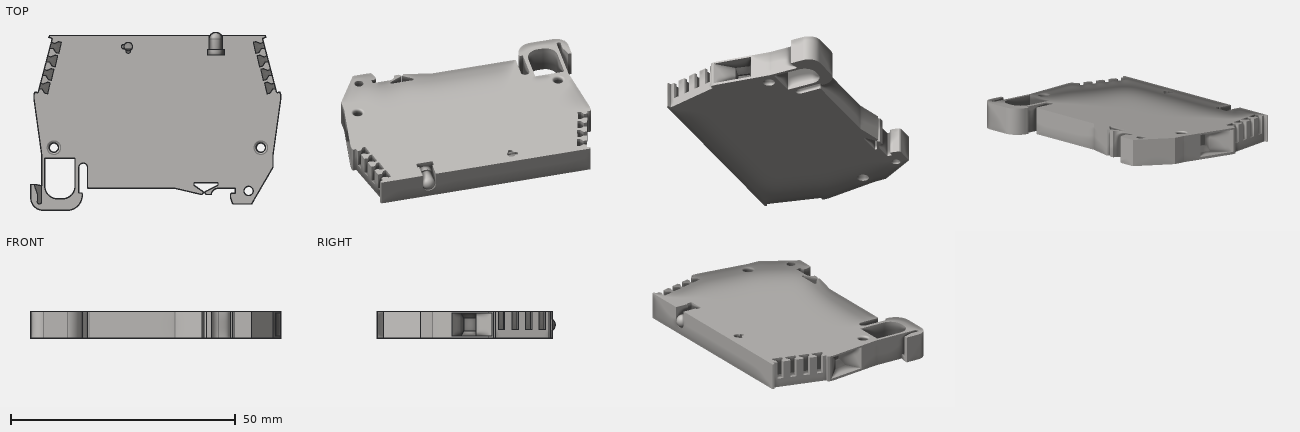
import cadquery as cq
import math


thickness = 6.0
mid_z = thickness / 2
top_y = 38.95
overall_length = 55.65
flank_x = 0.7
mirror_x = (flank_x + overall_length) / 2
arc_bend = 1 - math.sqrt(0.5)
shank_x = 2.45
shank_top_y = 12.3
bottom_y = 4.9
cut_margin = 0.55

hook_corner_radius = 2.85
hook_top_y = 5.8
hook_slot_floor_z = 1.0
hook_nose_tip = (1.1, hook_top_y)
hook_slot_end = (shank_x, 5.5)
hook_slot_root = (1.95, 1.95)
lip_y = 3.9
lip_tip = (11.6, 3.45)
lip_base = (11.4, 2.65)
lip_arc_mid = (10.45, 0.95)
lip_arc_end_x = 8.25
spring_slot_left = 10.75
spring_slot_right = 12.65
spring_slot_top = 10.5
spring_slot_corner = 0.35

window_left = 3.15
window_right = 9.85
window_top = 11.6
window_bottom = 2.6
window_radius = 2.8

latch_start_x = 32.1
latch_y = 3.5
latch_gap = 0.05
latch_pinch = (38.55, 4.05)
latch_window_left = 36.35
latch_window_right = 41.6
latch_window_top = 6.1
latch_window_side = 0.5
claw_left = 44.4
claw_recess_x = 45.45
claw_top_y = 3.85
claw_bottom_y = 1.4
right_flank_bottom_y = 9.6

screw_hole_x = 5.2
screw_hole_y = 13.95
screw_hole_radius = 1.0
screw_hole_rounding = 0.5
screw_land_length = 0.35
screw_bore_radius = 1.35
claw_hole_center = (48.45, 4.35)
claw_hole_radius = 1.0

grip_count = 4
grip_step = (-0.85, -3.0)
grip_floor_z = 2.0

entry_back_z = 0.55
entry_height = 5.05
entry_top_y = 25.5
entry_bottom_x = 1.9
entry_bottom_y = 16.7
throat_top = (4.5, 21.9)
throat_bottom = (5.3, 18.7)
funnel_length = 1.35
wire_hole_size = 2.9
wire_hole_depth = 0.55

lamp_x = 41.2
lamp_radius = 1.5
lamp_flange_radius = 1.9
lamp_flange_bottom = 34.55
lamp_flange_top = 35.8
lamp_dome_y = 38.1

plug_center = (21.7, 36.45)
plug_radius = 0.95
plug_top_z = 5.4
plug_length = 1.65
plug_slope_angle = 30
plug_flat_offset = 0.5
mark_radius = 0.5
mark_offset = 1.0


def mirrored_x(point):
    return (2 * mirror_x - point[0], point[1])


def housing_plate():
    """The plate's outline, run from the top left corner anticlockwise, and extruded."""
    left_shoulder = [
        (4.25, top_y), (4.0, 38.5), (4.8, 38.25),
        (1.65, 26.3), (1.45, 26.15), (1.3, 26.3), (0.95, 26.3), (flank_x, 25.8), (flank_x, 24.75),
        (shank_x, shank_top_y),
    ]
    right_shoulder = [mirrored_x(point) for point in reversed(left_shoulder)]
    slot_radius = (spring_slot_right - spring_slot_left) / 2
    slot_mid_x = (spring_slot_left + spring_slot_right) / 2
    slot_arc_y = spring_slot_top - slot_radius
    corner = spring_slot_corner
    radius = hook_corner_radius
    pinch_x, pinch_y = latch_pinch
    window_side_y = latch_window_top - latch_window_side

    outline = (
        cq.Workplane("XY")
        .polyline(left_shoulder)
        .lineTo(*hook_slot_end)
        .lineTo(*hook_nose_tip)
        .lineTo(0, hook_top_y)
        .lineTo(0, radius)
        .threePointArc((arc_bend * radius, arc_bend * radius), (radius, 0))
        .lineTo(lip_arc_end_x, 0)
        .threePointArc(lip_arc_mid, lip_base)
        .lineTo(*lip_tip)
        .lineTo(lip_base[0], lip_y)
        .lineTo(spring_slot_left, lip_y)
        .lineTo(spring_slot_left, slot_arc_y)
        .threePointArc((slot_mid_x, spring_slot_top), (spring_slot_right, slot_arc_y))
        .lineTo(spring_slot_right, bottom_y + corner)
        .threePointArc(
            (spring_slot_right + arc_bend * corner, bottom_y + arc_bend * corner),
            (spring_slot_right + corner, bottom_y),
        )
        .lineTo(latch_start_x, bottom_y)
        .lineTo(38.05, latch_y)
        .lineTo(pinch_x - latch_gap / 2, pinch_y)
        .lineTo(latch_window_left, window_side_y)
        .lineTo(latch_window_left, latch_window_top)
        .lineTo(latch_window_right, latch_window_top)
        .lineTo(latch_window_right, window_side_y)
        .lineTo(pinch_x + latch_gap / 2, pinch_y)
        .lineTo(39.05, latch_y)
        .lineTo(40.2, latch_y)
        .lineTo(40.25, 3.8)
        .threePointArc((40.75, 4.55), (41.8, bottom_y))
        .lineTo(claw_recess_x, bottom_y)
        .lineTo(claw_recess_x, claw_top_y)
        .lineTo(44.65, claw_top_y)
        .lineTo(claw_left, 3.55)
        .lineTo(claw_left, 2.95)
        .lineTo(44.85, 1.55)
        .lineTo(45.2, claw_bottom_y)
        .lineTo(49.15, claw_bottom_y)
        .lineTo(2 * mirror_x - shank_x, right_flank_bottom_y)
    )
    for point in right_shoulder:
        outline = outline.lineTo(*point)
    return outline.close().extrude(thickness)


def hook_slot():
    """Blind slot between the hook's nose and the arm, with a round pocket at its root."""
    root_x, root_y = hook_slot_root
    root_radius = shank_x - root_x
    channel = (
        cq.Workplane("XY", origin=(0, 0, hook_slot_floor_z))
        .moveTo(shank_x, root_y)
        .lineTo(shank_x, hook_top_y + cut_margin)
        .lineTo(0.85, hook_top_y + cut_margin)
        .lineTo(0.85, 5.55)
        .lineTo(1.55, 3.5)
        .lineTo(1.55, root_y)
        .close()
        .extrude(thickness)
    )
    root = (
        cq.Workplane("XY", origin=(root_x, root_y, hook_slot_floor_z))
        .circle(root_radius)
        .extrude(thickness)
    )
    return channel.union(root)


def hook_window():
    """Through window with two rounded lower corners."""
    return (
        cq.Workplane("XY")
        .moveTo(window_left, window_bottom)
        .lineTo(window_right, window_bottom)
        .lineTo(window_right, window_top)
        .lineTo(window_left, window_top)
        .close()
        .extrude(thickness)
        .edges("|Z and <Y")
        .fillet(window_radius)
    )


def screw_hole():
    """Through hole with a rounded mouth on the front face and a wider bore behind its narrow land."""
    mouth_radius = screw_hole_radius + screw_hole_rounding
    round_start_z = thickness - screw_hole_rounding
    land_start_z = round_start_z - screw_land_length
    inset = screw_hole_rounding * arc_bend
    return (
        cq.Workplane("XZ")
        .lineTo(screw_bore_radius, 0)
        .lineTo(screw_bore_radius, land_start_z)
        .lineTo(screw_hole_radius, land_start_z)
        .lineTo(screw_hole_radius, round_start_z)
        .threePointArc((screw_hole_radius + inset, thickness - inset), (mouth_radius, thickness))
        .lineTo(0, thickness)
        .close()
        .revolve(360, (0, 0), (0, 1))
        .translate((screw_hole_x, screw_hole_y, 0))
    )


def claw_hole():
    return cq.Workplane("XY").center(*claw_hole_center).circle(claw_hole_radius).extrude(thickness)


def grip_slot():
    """Topmost wavy slot in the left shoulder, open to the shoulder's edge."""
    return (
        cq.Workplane("XY", origin=(0, 0, grip_floor_z))
        .polyline([
            (4.1, 37.4), (4.7, 37.4), (5.3, 37.1), (6.25, 37.55), (6.85, 37.4),
            (6.3, 34.95), (5.6, 35.1), (5.05, 36.0), (3.7, 36.0),
        ])
        .close()
        .extrude(thickness)
    )


def wire_entry():
    """Left wire entry: an angled mouth, then a tilted funnel that narrows to a square blind hole."""
    mouth = (
        cq.Workplane("XY", origin=(0, 0, entry_back_z))
        .polyline([
            (flank_x - cut_margin, entry_top_y),
            (flank_x, entry_top_y),
            throat_top,
            throat_bottom,
            (entry_bottom_x, entry_bottom_y),
            (flank_x - cut_margin, entry_bottom_y),
        ])
        .close()
        .extrude(entry_height)
    )
    across = cq.Vector(*throat_top) - cq.Vector(*throat_bottom)
    throat_center = (cq.Vector(*throat_top) + cq.Vector(*throat_bottom)) / 2
    throat_plane = cq.Plane(
        origin=(throat_center.x, throat_center.y, entry_back_z + entry_height / 2),
        xDir=across.toTuple(),
        normal=across.cross(cq.Vector(0, 0, 1)).toTuple(),
    )
    funnel = (
        cq.Workplane(throat_plane)
        .rect(across.Length, entry_height)
        .workplane(offset=funnel_length)
        .rect(wire_hole_size, wire_hole_size)
        .loft()
    )
    hole = (
        cq.Workplane(throat_plane)
        .workplane(offset=funnel_length)
        .rect(wire_hole_size, wire_hole_size)
        .extrude(wire_hole_depth)
    )
    return mouth.union(funnel).union(hole)


def make_lamp():
    """Lamp: a flanged cylinder along Y that ends in a hemispherical dome."""
    bend = lamp_radius * math.sqrt(0.5)
    return (
        cq.Workplane("XY")
        .moveTo(0, lamp_flange_bottom)
        .lineTo(lamp_flange_radius, lamp_flange_bottom)
        .lineTo(lamp_flange_radius, lamp_flange_top)
        .lineTo(lamp_radius, lamp_flange_top)
        .lineTo(lamp_radius, lamp_dome_y)
        .threePointArc((bend, lamp_dome_y + bend), (0, lamp_dome_y + lamp_radius))
        .close()
        .revolve(360, (0, 0), (0, 1))
        .translate((lamp_x, 0, mid_z))
    )


def lamp_seat():
    """Seat for the lamp: round below its axis and open to the front face above it."""
    flange_height = lamp_flange_top - lamp_flange_bottom
    stem_height = top_y + cut_margin - lamp_flange_bottom
    seat = cq.Workplane("XY")
    for radius, height in ((lamp_flange_radius, flange_height), (lamp_radius, stem_height)):
        bed = (
            cq.Workplane("XZ", origin=(lamp_x, lamp_flange_bottom, mid_z))
            .circle(radius)
            .extrude(-height)
        )
        opening = cq.Workplane("XY").box(
            2 * radius, height, thickness, centered=(True, False, False)
        ).translate((lamp_x, lamp_flange_bottom, mid_z))
        seat = seat.union(bed).union(opening)
    return seat


def make_plug():
    """Round plug with a slope across its lower side."""
    plug = (
        cq.Workplane("XY", origin=(*plug_center, plug_top_z - plug_length))
        .circle(plug_radius)
        .extrude(plug_length)
    )
    slope_y = plug_center[1] - plug_flat_offset
    slope_width = plug_radius
    slope_drop = slope_width * math.tan(math.radians(plug_slope_angle))
    slope = (
        cq.Workplane("YZ", origin=(plug_center[0] - plug_radius, 0, 0))
        .moveTo(slope_y, plug_top_z)
        .lineTo(slope_y - slope_width, plug_top_z)
        .lineTo(slope_y - slope_width, plug_top_z - slope_drop)
        .close()
        .extrude(2 * plug_radius)
    )
    return plug.cut(slope)


def plug_recess():
    """Bore for the plug, with a half round mark on its left and one below it."""
    center_x, center_y = plug_center
    bore = (
        cq.Workplane("XY", origin=(center_x, center_y, plug_top_z - plug_length))
        .circle(plug_radius)
        .extrude(thickness)
    )
    marks = (
        cq.Workplane("XY", origin=(center_x, center_y, plug_top_z))
        .pushPoints([(-mark_offset, 0), (0, -mark_offset)])
        .circle(mark_radius)
        .extrude(thickness)
    )
    return bore.union(marks)


def make_housing():
    """Plate with the paired cuts made on both sides of the mirror line, then the single ones."""
    paired_cuts = [screw_hole(), wire_entry()]
    for index in range(grip_count):
        paired_cuts.append(grip_slot().translate((index * grip_step[0], index * grip_step[1], 0)))

    housing = housing_plate().cut(hook_slot()).cut(hook_window())
    for cutter in paired_cuts:
        housing = housing.cut(cutter).cut(cutter.mirror("YZ", (mirror_x, 0, 0)))
    return housing.cut(claw_hole()).cut(lamp_seat()).cut(plug_recess())


housing = make_housing()
lamp = make_lamp()
plug = make_plug()

result = cq.Compound.makeCompound([housing.val(), lamp.val(), plug.val()])